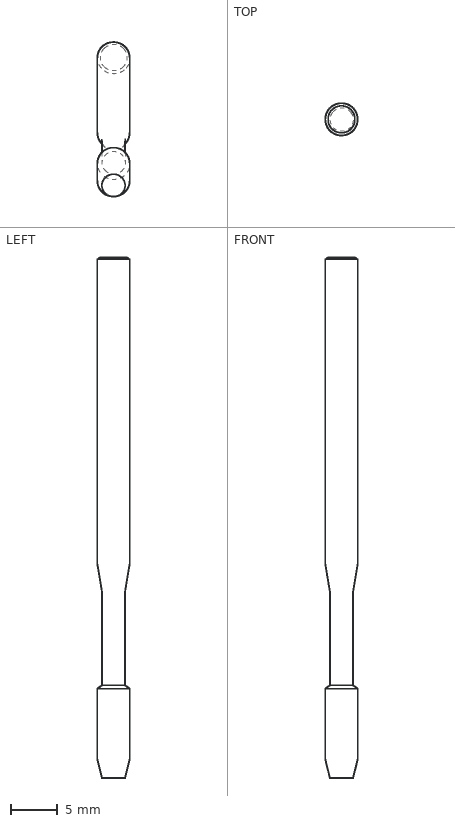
import cadquery as cq

overall_length = 56.0
body_radius = 3.5 / 2
neck_radius = 2.5 / 2

head_length = 10.0
tip_radius = 2.5 / 2
lead_length = 2.0
head_shoulder_height = 0.35

neck_length = 10.0
taper_length = 3.0
end_chamfer_width = 0.3
end_chamfer_height = 0.2

neck_top_z = head_length + neck_length
taper_top_z = neck_top_z + taper_length


def turned(profile):
    """Revolve an (r, z) profile, closed along the axis, about the Z axis."""
    return cq.Workplane("XZ").polyline(profile).close().revolve(360, (0, 0), (0, 1))


head = turned([
    (0, 0),
    (tip_radius, 0),
    (body_radius, lead_length),
    (body_radius, head_length - head_shoulder_height),
    (neck_radius, head_length),
    (0, head_length),
])

shank = turned([
    (0, head_length),
    (neck_radius, head_length),
    (neck_radius, neck_top_z),
    (body_radius, taper_top_z),
    (body_radius, overall_length - end_chamfer_height),
    (body_radius - end_chamfer_width, overall_length),
    (0, overall_length),
])

result = cq.Compound.makeCompound([head.val(), shank.val()])